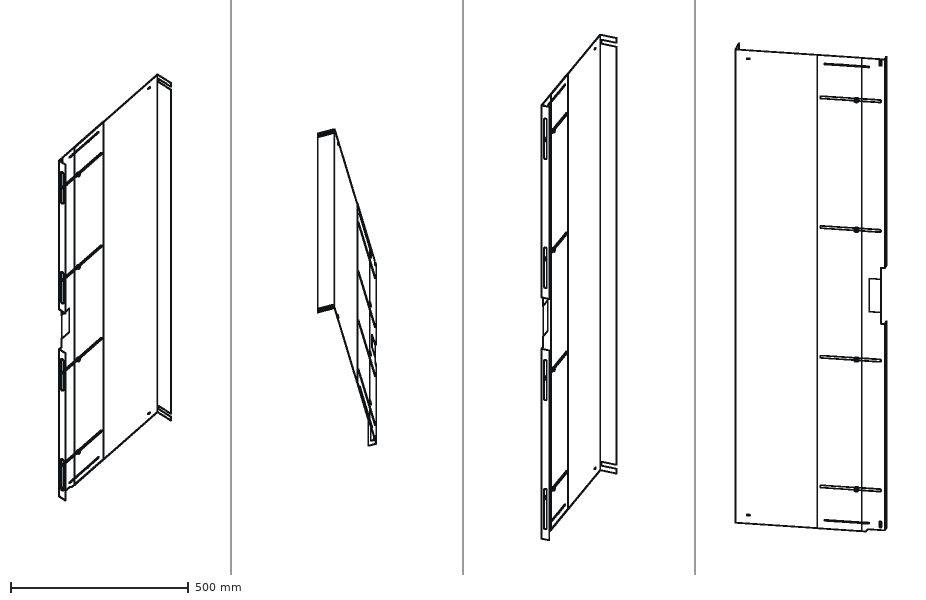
import cadquery as cq

width = 57.0
depth = 430.0
height = 1422.0
mid_height = height / 2

sheet = 1.0
bend_radius = sheet
head_height = 5.0
front_sheet_x = head_height
back_sheet_x = front_sheet_x + sheet
nut_x = back_sheet_x + sheet

front_sheet_rear_y = 195.0
front_flange_end_x = 30.0
corner_step = 7.0
corner_step_y = 55.0

cutout_height = 168.0
cutout_depth = 11.0
grip_height = 100.0
grip_rear_y = 45.0
grip_recess = 0.4

bolt_spacing = 390.0
bolt_y = 81.0
adjust_slot_front_y = 11.0
adjust_slot_rear_y = 186.0
adjust_slot_width = 7.0

edge_slot_inset = 25.0
edge_slot_width = 3.0
long_slot_length = 128.0
long_slot_y = 110.0
short_slot_length = 9.0
short_slot_ys = (125.0, 393.0)

slit_y = 13.0
slit_width = 5.0
top_slit_depth = 20.0
bottom_slit_z = 24.0
bottom_slit_length = 18.0

flange_slot_x = 17.8
flange_slot_width = 9.0
flange_slot_length = 132.0
flange_slot_offsets = (-605.0, -183.0, 183.0, 605.0)

back_sheet_front_y = 67.0
flange_tab_height = 15.0
flange_notch_height = 13.0
flange_notch_start_x = 11.0

head_diameter = 13.0
socket_diameter = 5.0
socket_depth = 3.0
shank_diameter = 5.0
nut_diameter = 9.0
nut_height = 4.0
shank_length = nut_x + nut_height

bolt_heights = [mid_height + bolt_spacing * step for step in (-1.5, -0.5, 0.5, 1.5)]
edge_slot_heights = (edge_slot_inset, height - edge_slot_inset)


def span(center, length):
    """Start and end of a length centred on a coordinate."""
    return (center - length / 2, center + length / 2)


def block(x_range, y_range, z_range):
    """Box between the given start and end along each axis."""
    (x0, x1), (y0, y1), (z0, z1) = x_range, y_range, z_range
    box = cq.Workplane("XY").box(x1 - x0, y1 - y0, z1 - z0, centered=False)
    return box.translate((x0, y0, z0))


def cylinder(x, y, z, diameter, length):
    """Cylinder running along +X from the given point."""
    return cq.Workplane("YZ", origin=(x, y, z)).circle(diameter / 2).extrude(length)


def slot_cutter(y, z, length, slot_width, angle=0):
    """Round-ended cutter running the full width in X; the slot lies along Y at angle 0, Z at 90."""
    return cq.Workplane("YZ", origin=(0, y, z)).slot2D(length, slot_width, angle).extrude(width)


def round_bend(body, x, y):
    """Round the outer vertical edge of a bend."""
    edge = cq.selectors.NearestToPointSelector((x, y, mid_height))
    return body.edges(edge).fillet(bend_radius)


def folded_front_sheet():
    outline = [
        (0, corner_step),
        (corner_step_y - corner_step, corner_step),
        (corner_step_y, 0),
        (front_sheet_rear_y, 0),
        (front_sheet_rear_y, height),
        (0, height),
    ]
    plate = cq.Workplane("YZ", origin=(front_sheet_x, 0, 0)).polyline(outline).close().extrude(sheet)
    flange = block((front_sheet_x, front_flange_end_x), (0, sheet), (corner_step, height))
    return round_bend(plate.union(flange), front_sheet_x, 0)


def cut_handle(body):
    cutout = block((0, width), (0, cutout_depth), span(mid_height, cutout_height))
    grip = block((0, front_sheet_x + grip_recess), (0, grip_rear_y), span(mid_height, grip_height))
    return body.cut(cutout).cut(grip)


def cut_front_sheet_slots(body):
    adjust_length = adjust_slot_rear_y - adjust_slot_front_y
    adjust_y = (adjust_slot_rear_y + adjust_slot_front_y) / 2
    for z in bolt_heights:
        body = body.cut(slot_cutter(adjust_y, z, adjust_length, adjust_slot_width))
    for z in edge_slot_heights:
        body = body.cut(slot_cutter(long_slot_y, z, long_slot_length, edge_slot_width))
    return body


def cut_relief_slits(body):
    top_slit = block((0, width), span(slit_y, slit_width), (height - top_slit_depth, height))
    bottom_slit = slot_cutter(slit_y, bottom_slit_z, bottom_slit_length, slit_width, angle=90)
    return body.cut(top_slit).cut(bottom_slit)


def cut_flange_slots(body):
    centers = [(flange_slot_x, mid_height + offset) for offset in flange_slot_offsets]
    slots = cq.Workplane("XZ").pushPoints(centers).slot2D(flange_slot_length, flange_slot_width, 90)
    return body.cut(slots.extrude(-sheet))


def make_front_sheet():
    body = folded_front_sheet()
    body = cut_handle(body)
    body = cut_front_sheet_slots(body)
    body = cut_relief_slits(body)
    return cut_flange_slots(body)


def make_back_sheet():
    plate = block((back_sheet_x, back_sheet_x + sheet), (back_sheet_front_y, depth), (0, height))
    flange_y = (depth - sheet, depth)
    flange = block((back_sheet_x, width), flange_y, (0, height))
    body = round_bend(plate.union(flange), back_sheet_x, depth)

    notch_inset = flange_tab_height + flange_notch_height / 2
    for z in (notch_inset, height - notch_inset):
        body = body.cut(block((flange_notch_start_x, width), flange_y, span(z, flange_notch_height)))
    for z in bolt_heights:
        body = body.cut(cylinder(0, bolt_y, z, shank_diameter, width))
    for y in short_slot_ys:
        for z in edge_slot_heights:
            body = body.cut(slot_cutter(y, z, short_slot_length, edge_slot_width))
    return body


def make_bolt(z):
    """Bolt with a socket in its head, pointing along +X and ending flush with its nut."""
    head = cylinder(0, bolt_y, z, head_diameter, head_height)
    shank = cylinder(0, bolt_y, z, shank_diameter, shank_length)
    socket = cylinder(0, bolt_y, z, socket_diameter, socket_depth)
    return head.union(shank).cut(socket)


def make_nut(z):
    """Round nut against the inner face of the back sheet."""
    blank = cylinder(nut_x, bolt_y, z, nut_diameter, nut_height)
    bore = cylinder(nut_x, bolt_y, z, shank_diameter, nut_height)
    return blank.cut(bore)


front_sheet = make_front_sheet().solids()
back_sheet = make_back_sheet().solids()
bolts = [make_bolt(z).solids().val() for z in bolt_heights]
nuts = [make_nut(z).solids().val() for z in bolt_heights]

result = cq.Compound.makeCompound([front_sheet.val(), back_sheet.val(), *bolts, *nuts])